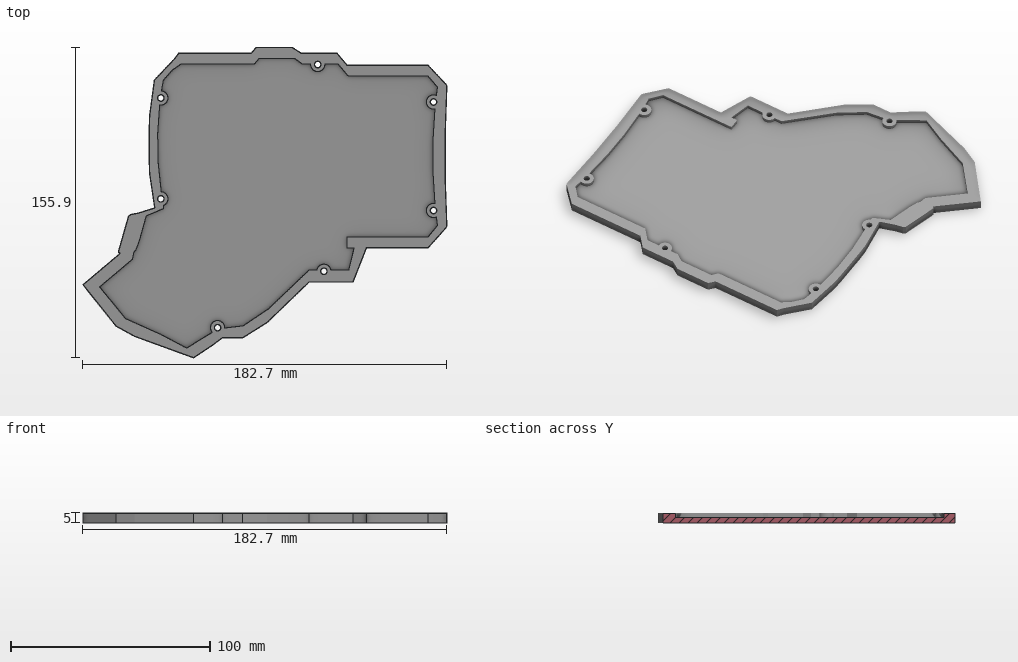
import cadquery as cq


length = 182.7
width = 155.9
thickness = 5.0
pocket_depth = 2.0
floor_thickness = thickness - pocket_depth

rim = 5.5
shoulder_y = 153.0
right_top_y = 146.9
right_bottom_y = 55.2
lower_step_y = 38.0
foot_y = 10.0
lower_step_rim = 6.0

right_corner_x = 173.2
lower_step_x = 113.5
right_mid_y = 101.2
right_half_height = 34.7
right_bow = 1.0
pocket_right_bow = 2.4
pocket_right_x = 178.0
tongue_x = 132.6

boss_diameter = 7.1
hole_diameter = 3.1
left_boss_x = 39.1
right_boss_x = 176.0
boss_centers = [
    (left_boss_x, 130.5),
    (left_boss_x, 79.8),
    (right_boss_x, 128.5),
    (right_boss_x, 74.0),
    (117.8, 147.3),
    (121.0, 43.5),
    (67.6, 15.2),
]


def plate_outline():
    """Outside of the plate, clockwise from its left tip."""
    left_and_top = [
        (0.0, 36.7),
        (18.6, 52.5),
        (17.7, 53.2),
        (22.8, 71.0),
        (24.0, 72.0),
        (27.8, 72.7),
        (36.0, 75.3),
        (33.5, 92.5),
        (33.3, 98.0),
        (33.3, 116.2),
        (33.5, 121.7),
        (35.8, 139.4),
        (45.9, 150.0),
        (48.0, shoulder_y),
        (84.5, shoulder_y),
        (87.0, width),
        (105.0, width),
        (109.6, shoulder_y),
        (127.5, shoulder_y),
        (132.6, right_top_y),
        (right_corner_x, right_top_y),
        (182.5, 137.0),
        (length, right_mid_y + right_half_height),
    ]
    right_and_bottom = [
        (182.5, 65.6),
        (right_corner_x, right_bottom_y),
        (142.3, right_bottom_y),
        (135.5, lower_step_y),
        (lower_step_x, lower_step_y),
        (92.5, 17.7),
        (80.2, foot_y),
        (70.0, foot_y),
        (65.6, 6.8),
        (55.5, 0.0),
        (26.0, 10.8),
        (16.6, 15.9),
    ]
    return (
        cq.Workplane("XY")
        .polyline(left_and_top)
        .threePointArc(
            (length - right_bow, right_mid_y),
            (length, right_mid_y - right_half_height),
        )
        .polyline(right_and_bottom, includeCurrent=True)
        .close()
    )


def pocket_outline():
    """Inside of the rim, clockwise from its left tip, at the level of the pocket floor."""
    left_arm = [
        (8.4, 35.6),
        (24.8, 49.5),
        (25.5, 53.0),
        (26.7, 54.5),
        (28.3, 58.8),
        (31.8, 71.3),
        (40.4, 75.0),
        (40.4, 77.1),
    ]
    top = [
        (45.0, 144.5),
        (49.1, shoulder_y - rim),
        (86.0, shoulder_y - rim),
        (88.5, width - rim),
        (106.2, width - rim),
        (110.2, shoulder_y - rim),
        (128.0, shoulder_y - rim),
        (133.2, right_top_y - rim),
        (right_corner_x, right_top_y - rim),
        (pocket_right_x, right_mid_y + right_half_height),
    ]
    bottom = [
        (right_corner_x, right_bottom_y + rim),
        (tongue_x, right_bottom_y + rim),
        (tongue_x, right_bottom_y),
        (136.1, right_bottom_y),
        (133.4, lower_step_y + lower_step_rim),
        (lower_step_x, lower_step_y + lower_step_rim),
        (93.2, 24.7),
        (80.4, 16.0),
        (67.8, 14.6),
        (52.0, 5.0),
        (39.3, 11.7),
        (21.4, 19.7),
    ]
    return (
        cq.Workplane("XY", origin=(0, 0, floor_thickness))
        .polyline(left_arm)
        .threePointArc((37.5, 107.0), (40.4, 139.4))
        .polyline(top, includeCurrent=True)
        .threePointArc(
            (pocket_right_x - pocket_right_bow, right_mid_y),
            (pocket_right_x, right_mid_y - right_half_height),
        )
        .polyline(bottom, includeCurrent=True)
        .close()
    )


def boss_cylinders(diameter):
    """Full-height cylinders at every boss center."""
    return cq.Workplane("XY").pushPoints(boss_centers).circle(diameter / 2).extrude(thickness)


plate = plate_outline().extrude(thickness)
pocket = pocket_outline().extrude(pocket_depth)

bosses = boss_cylinders(boss_diameter)
holes = boss_cylinders(hole_diameter)
result = plate.cut(pocket.cut(bosses)).cut(holes)